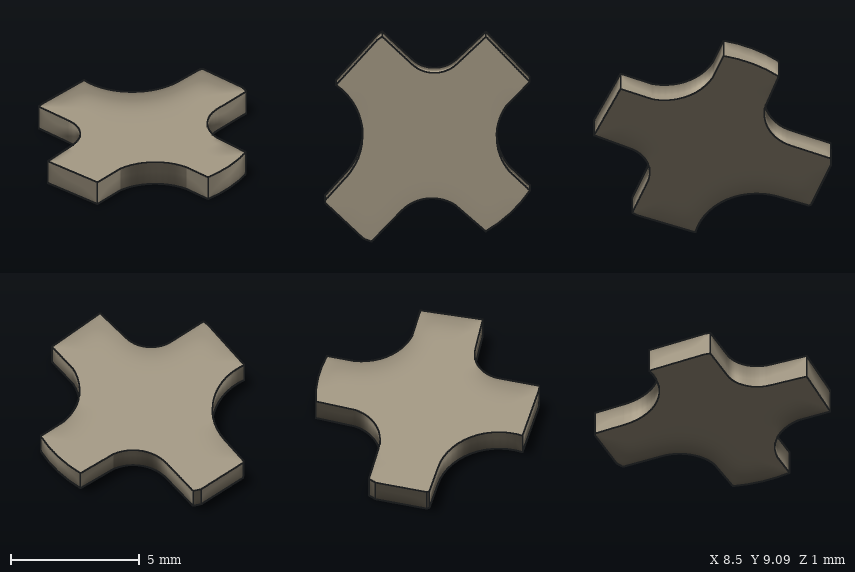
import cadquery as cq
import math

length_x = 8.50
length_y = 9.09
thickness = 1.00

left = -length_x / 2
right = length_x / 2
back = length_y / 2
front = -length_y / 2

back_left_radius = 2.45
back_right_radius = 1.65
front_left_radius = 1.27
front_right_radius = 2.14
right_tip_radius = 5.0

back_arm_right = 1.11
back_left_break_x = 0.08
back_left_break_y = 0.07
back_right_break_x = 0.30
back_right_break_y = 0.13
back_tip_left = -1.33
back_root_left = (-1.37, 3.22)
back_root_right_y = 2.77

right_tip_back = (4.045, 1.06)
right_arm_front = -1.305
right_tip_center_x = right - right_tip_radius
right_tip_center_y = -0.43
right_tip_front_offset = right_arm_front - right_tip_center_y
right_tip_front_x = right_tip_center_x + math.sqrt(right_tip_radius**2 - right_tip_front_offset**2)
right_root_back = (2.46, 1.12)
right_root_front_x = 3.05

front_arm_right = 1.195
front_tip_right_y = -4.425
front_tip_left_x = -1.28
front_root_left = (-1.35, -3.0)
front_root_right_y = -3.08

left_tip_back = (-4.18, 0.865)
left_arm_front = -1.77
left_break_x = 0.04
left_break_y = 0.23
left_root_front_x = -2.65


def plate_outline():
    """Closed outline, traced clockwise from the back arm's left corner."""
    outline = (
        cq.Workplane("XY")
        .moveTo(back_tip_left, back - back_left_break_y)
        .lineTo(back_tip_left + back_left_break_x, back)
        .lineTo(back_arm_right - back_right_break_x, back)
        .lineTo(back_arm_right, back - back_right_break_y)
        .lineTo(back_arm_right, back_root_right_y)
    )
    outline = (
        outline.radiusArc(right_root_back, -back_right_radius)
        .lineTo(*right_tip_back)
        .threePointArc((right, right_tip_center_y), (right_tip_front_x, right_arm_front))
        .lineTo(right_root_front_x, right_arm_front)
    )
    outline = (
        outline.radiusArc((front_arm_right, front_root_right_y), -front_right_radius)
        .lineTo(front_arm_right, front_tip_right_y)
        .lineTo(front_tip_left_x, front)
        .lineTo(*front_root_left)
    )
    outline = (
        outline.radiusArc((left_root_front_x, left_arm_front), -front_left_radius)
        .lineTo(left + left_break_x, left_arm_front)
        .lineTo(left, left_arm_front + left_break_y)
        .lineTo(*left_tip_back)
    )
    return outline.radiusArc(back_root_left, -back_left_radius).close()


result = plate_outline().extrude(thickness / 2, both=True)